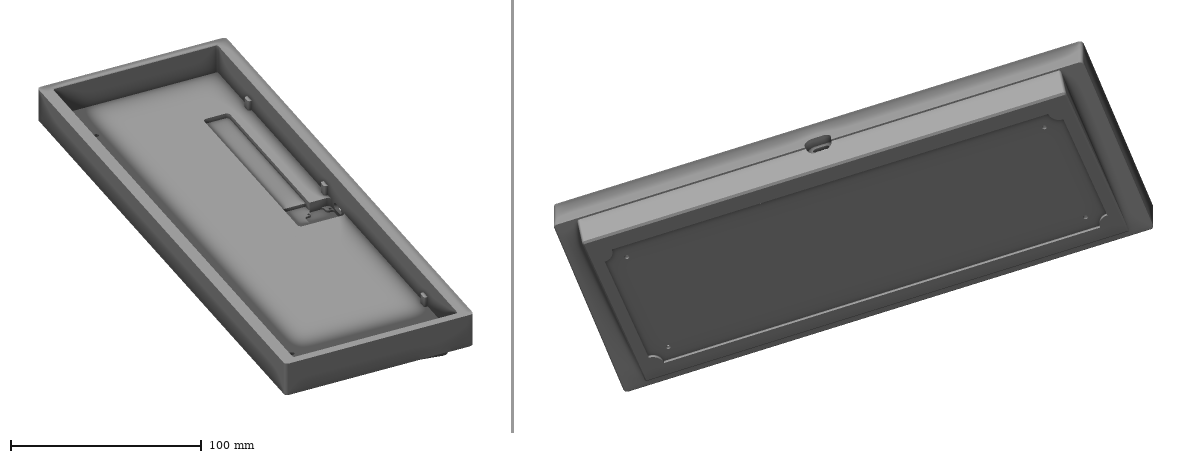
import cadquery as cq
import math

LENGTH = 295.7
WIDTH = 110.3
HEIGHT = 31.0
TRAY_HEIGHT = 20.0
END_WALL = 4.7
SIDE_WALL = 7.0
FLOOR_THICKNESS = 3.0
TRAY_CORNER_RADIUS = 2.0
INNER_CORNER_RADIUS = 1.2
TRAY_BOTTOM_CHAMFER = 0.5
INNER_RIM_CHAMFER = 0.3

TRAY_BOTTOM = HEIGHT - TRAY_HEIGHT
FLOOR_TOP = TRAY_BOTTOM + FLOOR_THICKNESS
INNER_LENGTH = LENGTH - 2 * END_WALL
INNER_WIDTH = WIDTH - 2 * SIDE_WALL
INNER_BACK = INNER_WIDTH / 2

FOOT_LENGTH = 270.3
FOOT_TILT = 6.0
FOOT_BACK_TOP = 53.5
FOOT_BACK_BOTTOM = 45.5
FOOT_FRONT = -52.0
FOOT_BACK_CORNER_RADIUS = 1.5
FOOT_BOTTOM_CHAMFER = 1.0
TILT_SLOPE = math.tan(math.radians(FOOT_TILT))
FOOT_DROP = FOOT_BOTTOM_CHAMFER * math.sin(math.radians(FOOT_TILT))

RECESS_LENGTH = 256.0
RECESS_FRONT = -43.8
RECESS_BACK = 36.0
RECESS_DEPTH = 1.8
LAND_RADIUS = 6.2

SCREW_DIAMETER = 2.55
SCREW_X = 116.5
SCREW_FRONT_Y = -35.8
SCREW_BACK_Y = 27.5
SCREW_BLIND_TOP = 9.0

CABLE_LEFT = -105.5
CABLE_FRONT = 21.0
CABLE_BACK = 36.0
CABLE_DEPTH = 3.0
BOARD_RIGHT = 9.2
BOARD_LEFT = -9.5
BOARD_STEP_LEFT = -14.0
BOARD_DEPTH = 5.0
POCKET_CORNER_RADIUS = 2.0

BOARD_CENTRE_X = (BOARD_LEFT + BOARD_RIGHT) / 2
CLEARANCE_DEPTH = 6.2
CLEARANCE_FRONT = 31.0
CLEARANCE_MID_FRONT = 35.5
CLEARANCE_MID_BACK = 44.0
CLEARANCE_NECK_WIDTH = 9.8
CLEARANCE_CORNER_RADIUS = 1.8
POST_HOLE_DIAMETER = 1.6
POST_HOLE_DEPTH = 3.0
POST_HOLE_SPACING = 12.5
POST_HOLE_BACK = 46.7

PORT_WIDTH = 9.0
PORT_HEIGHT = 3.8
PORT_CENTRE_Z = FLOOR_TOP - 1.8
PORT_WEB = 2.0
PLUG_RECESS_WIDTH = 14.8
PLUG_RECESS_HEIGHT = 8.5

TAB_WIDTH = 5.0
TAB_HEIGHT = 6.0
TAB_CORNER_RADIUS = 1.2
BACK_TAB_REACH = 2.0
BACK_TABS_X = (-105.0, -14.2, 104.7)
FRONT_TAB_REACH = 1.5
FRONT_TABS_X = (-90.2, 90.2)


def block(x0, x1, y0, y1, z0, z1):
    return cq.Workplane("XY").box(x1 - x0, y1 - y0, z1 - z0, centered=False).translate((x0, y0, z0))


def tray_body():
    body = cq.Workplane("XY").box(LENGTH, WIDTH, TRAY_HEIGHT, centered=(True, True, False))
    body = body.edges("|Z").fillet(TRAY_CORNER_RADIUS).faces("<Z").chamfer(TRAY_BOTTOM_CHAMFER)
    return body.translate((0, 0, TRAY_BOTTOM))


def tray_cavity():
    depth = TRAY_HEIGHT - FLOOR_THICKNESS
    cavity = cq.Workplane("XY").box(INNER_LENGTH, INNER_WIDTH, depth, centered=(True, True, False))
    cavity = cavity.edges("|Z").fillet(INNER_CORNER_RADIUS).translate((0, 0, FLOOR_TOP))
    rim = (
        cq.Workplane("XY").workplane(offset=HEIGHT - INNER_RIM_CHAMFER)
        .rect(INNER_LENGTH, INNER_WIDTH)
        .workplane(offset=INNER_RIM_CHAMFER)
        .rect(INNER_LENGTH + 2 * INNER_RIM_CHAMFER, INNER_WIDTH + 2 * INNER_RIM_CHAMFER)
        .loft()
    )
    return cavity.union(rim)


def foot():
    front_z = (FOOT_BACK_BOTTOM - FOOT_FRONT) * TILT_SLOPE
    profile = [
        (FOOT_BACK_BOTTOM, 0),
        (FOOT_BACK_TOP, TRAY_BOTTOM),
        (FOOT_BACK_TOP, FLOOR_TOP),
        (FOOT_FRONT, FLOOR_TOP),
        (FOOT_FRONT, front_z),
    ]
    wedge = cq.Workplane("YZ").polyline(profile).close().extrude(FOOT_LENGTH / 2, both=True)
    slanted_centre = (0, (FOOT_BACK_BOTTOM + FOOT_BACK_TOP) / 2, TRAY_BOTTOM / 2)
    slanted_face = wedge.faces(cq.NearestToPointSelector(slanted_centre))
    rounded = slanted_face.edges("not |X").fillet(FOOT_BACK_CORNER_RADIUS)
    chamfered = rounded.faces("<Z").chamfer(FOOT_BOTTOM_CHAMFER)
    return chamfered.translate((0, 0, -FOOT_DROP))


def underside_plane():
    tilt = math.radians(FOOT_TILT)
    origin = (0, FOOT_BACK_BOTTOM, -FOOT_DROP)
    inward = (0, math.sin(tilt), math.cos(tilt))
    return cq.Workplane(cq.Plane(origin=origin, xDir=(1, 0, 0), normal=inward))


def along_slope(y):
    return (y - FOOT_BACK_BOTTOM) / math.cos(math.radians(FOOT_TILT))


def underside_recess():
    front, back = along_slope(RECESS_FRONT), along_slope(RECESS_BACK)
    corners = [(x, y) for x in (-RECESS_LENGTH / 2, RECESS_LENGTH / 2) for y in (front, back)]
    outline = underside_plane().center(0, (front + back) / 2).rect(RECESS_LENGTH, back - front)
    recess = outline.extrude(RECESS_DEPTH)
    lands = underside_plane().pushPoints(corners).circle(LAND_RADIUS).extrude(RECESS_DEPTH)
    return recess.cut(lands)


def screw_holes():
    front = [(x, SCREW_FRONT_Y) for x in (-SCREW_X, SCREW_X)]
    back = [(x, SCREW_BACK_Y) for x in (-SCREW_X, SCREW_X)]
    through = cq.Workplane("XY").pushPoints(front).circle(SCREW_DIAMETER / 2).extrude(HEIGHT)
    blind = cq.Workplane("XY").pushPoints(back).circle(SCREW_DIAMETER / 2).extrude(SCREW_BLIND_TOP)
    return through.union(blind)


def floor_pockets():
    board_floor = FLOOR_TOP - BOARD_DEPTH
    cable = block(CABLE_LEFT, BOARD_RIGHT, CABLE_FRONT, CABLE_BACK, FLOOR_TOP - CABLE_DEPTH, FLOOR_TOP)
    step = block(BOARD_STEP_LEFT, BOARD_RIGHT, CABLE_FRONT, CABLE_BACK, board_floor, FLOOR_TOP)
    board = block(BOARD_LEFT, BOARD_RIGHT, CABLE_FRONT, INNER_BACK, board_floor, FLOOR_TOP)
    cable = cable.edges("|Z").fillet(POCKET_CORNER_RADIUS)
    step = step.faces("<Y").edges("|Z").fillet(POCKET_CORNER_RADIUS)
    board = board.edges("|Z").fillet(POCKET_CORNER_RADIUS)
    return cable.union(step).union(board)


def board_clearance():
    bottom = FLOOR_TOP - CLEARANCE_DEPTH
    neck_left = BOARD_CENTRE_X - CLEARANCE_NECK_WIDTH / 2
    neck_right = BOARD_CENTRE_X + CLEARANCE_NECK_WIDTH / 2
    wide = block(BOARD_LEFT, BOARD_RIGHT, CLEARANCE_MID_FRONT, CLEARANCE_MID_BACK, bottom, FLOOR_TOP)
    neck = block(neck_left, neck_right, CLEARANCE_FRONT, INNER_BACK, bottom, FLOOR_TOP)
    return wide.union(neck).edges("|Z").fillet(CLEARANCE_CORNER_RADIUS)


def post_holes():
    half = POST_HOLE_SPACING / 2
    points = [
        (BOARD_CENTRE_X + dx, y)
        for dx in (-half, half)
        for y in (POST_HOLE_BACK - POST_HOLE_SPACING, POST_HOLE_BACK)
    ]
    post_top = FLOOR_TOP - BOARD_DEPTH
    holes = cq.Workplane("XY").pushPoints(points).circle(POST_HOLE_DIAMETER / 2).extrude(POST_HOLE_DEPTH)
    return holes.translate((0, 0, post_top - POST_HOLE_DEPTH))


def slot_towards_back(width, height, start_y):
    plane = cq.Workplane("XZ", origin=(BOARD_CENTRE_X, start_y, PORT_CENTRE_Z))
    return plane.slot2D(width, height).extrude(start_y - WIDTH / 2)


def port():
    """Slot through a thin web, opening into a larger recess for the plug."""
    inner_start = INNER_BACK - POCKET_CORNER_RADIUS
    slot = slot_towards_back(PORT_WIDTH, PORT_HEIGHT, inner_start)
    return slot.union(slot_towards_back(PLUG_RECESS_WIDTH, PLUG_RECESS_HEIGHT, INNER_BACK + PORT_WEB))


def tab(x, wall_y, reach):
    """Tab that stands off an inner wall; its other half is buried in the wall."""
    shape = cq.Workplane("XY").box(TAB_WIDTH, 2 * reach, TAB_HEIGHT, centered=(True, True, False))
    shape = shape.edges("|Z").fillet(TAB_CORNER_RADIUS)
    return shape.translate((x, wall_y, FLOOR_TOP))


result = tray_body().union(foot()).cut(tray_cavity())
for x in BACK_TABS_X:
    result = result.union(tab(x, INNER_BACK, BACK_TAB_REACH))
for x in FRONT_TABS_X:
    result = result.union(tab(x, -INNER_BACK, FRONT_TAB_REACH))
for cutter in (underside_recess(), screw_holes(), floor_pockets(), board_clearance(), post_holes(), port()):
    result = result.cut(cutter)